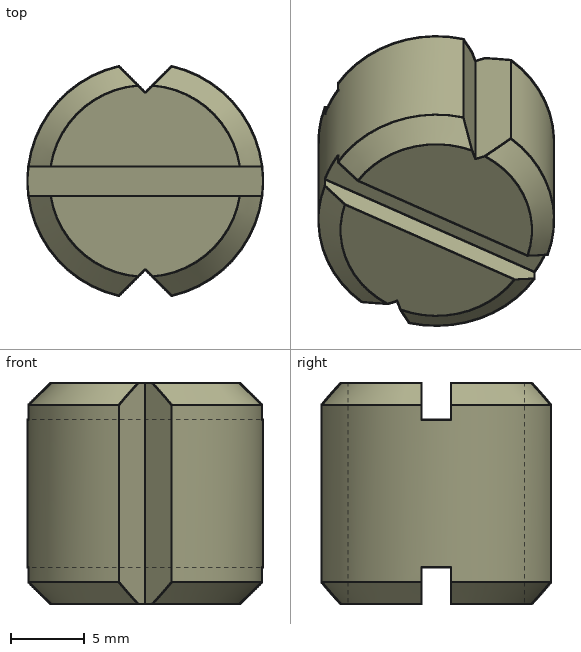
import cadquery as cq

diameter = 15.99
height = 15.0
chamfer = 1.5
slot_width = 2.0
slot_depth = 2.5
groove_root_radius = 6.0

radius = diameter / 2
groove_reach = radius - groove_root_radius


def chamfered_body():
    """Upright cylinder standing on Z = 0 with both rims chamfered."""
    return cq.Workplane("XY").circle(radius).extrude(height).edges().chamfer(chamfer)


def screwdriver_slot(floor_z):
    """Straight slot cutter along X, starting at floor_z and rising by the slot depth."""
    return (
        cq.Workplane("XY", origin=(0, 0, floor_z))
        .rect(diameter, slot_width)
        .extrude(slot_depth)
    )


def v_groove(side):
    """Full-height 90 degree V cutter on the +Y (side = 1) or -Y (side = -1) flank."""
    return (
        cq.Workplane("XY")
        .moveTo(0, side * groove_root_radius)
        .lineTo(groove_reach, side * radius)
        .lineTo(-groove_reach, side * radius)
        .close()
        .extrude(height)
    )


result = chamfered_body()

for floor_z in (0, height - slot_depth):
    result = result.cut(screwdriver_slot(floor_z))

for side in (1, -1):
    result = result.cut(v_groove(side))